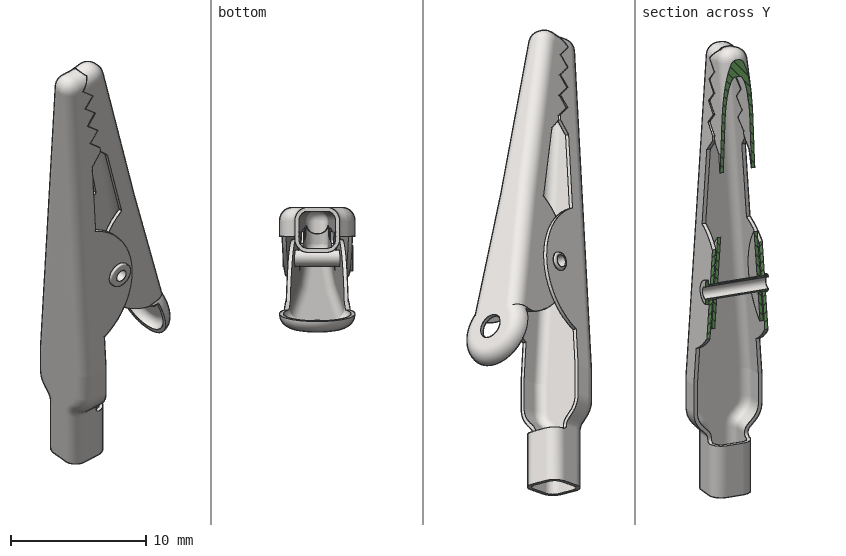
import cadquery as cq
import math

SHEET = 0.3
EDGE_RADIUS = 1.0
DEEP = 10.55

TIP_RADIUS = 1.02
OVERALL_HEIGHT = 35.15
PIVOT_Y = 3.75
PIVOT_Z = 16.55
EAR_RADIUS = 5.27
EAR_CENTRE_Y = -0.18
EAR_CENTRE_Z = 16.38
WINDOW_WALL = 1.83
WINDOW_TOP = 27.03
JAW_ANGLE = 12.0

TOOTH_COUNT = 4
TOOTH_PITCH = 1.6
TOOTH_RISE = 0.8
TOOTH_DEPTH = 0.9
BITE_LEAN = 0.15
BITE_Y = 2.67
BITE_BOTTOM = 27.98
BITE_STEP = 0.4

BODY_HALF = 2.795
TIP_HALF = 1.12
TIP_Z = 34.1
TAPER_BOTTOM = 8.8
SHOULDER_Z = 6.57
SHOULDER_RADIUS = 1.95
SHOULDER_ANGLE = 45.0
BODY_WALL = 2.15

TAIL_HALF = 1.65
TAIL_DEPTH = 3.35
TAIL_TOP = 4.08
TAIL_FILLET = 0.3
NECK_FILLET = 0.6

SIDE_CLEARANCE = 0.07
WAIST_Z = 21.35
THUMB_Z = 9.88
THUMB_NECK = 2.3
THUMB_DEPTH = 1.0
THUMB_HOLE = 1.85

SHANK = 1.2
BORE = 0.9
HEAD = 1.9
HEAD_FILLET = 0.1
LIP = 1.4
LIP_FILLET = 0.18
HEAD_SEAT = 2.35
HEAD_END = 2.65
LIP_END = 2.55

TURN = math.radians(JAW_ANGLE)
BACK_TIP_RISE = (
    OVERALL_HEIGHT - PIVOT_Z - EDGE_RADIUS - (PIVOT_Y - EDGE_RADIUS) * math.sin(TURN)
) / math.cos(TURN)
JAW_TOP = PIVOT_Z + BACK_TIP_RISE + EDGE_RADIUS
TAPER = (BODY_HALF - TIP_HALF) / (TIP_Z - TAPER_BOTTOM)


def lower_half_width(z):
    return BODY_HALF - TAPER * (z - TAPER_BOTTOM)


def upper_half_width(z):
    return lower_half_width(z) - SHEET - SIDE_CLEARANCE


def ear_height(y):
    """Height of the round ear above or below its centre at depth y."""
    return math.sqrt(EAR_RADIUS**2 - (y - EAR_CENTRE_Y) ** 2)


def bite_line():
    """Zigzag from the bottom of the bite to above the tip, as (y, z) points."""
    points = [(BITE_Y, BITE_BOTTOM)]
    for tooth in range(TOOTH_COUNT + 1):
        y = BITE_Y - BITE_LEAN * tooth
        z = BITE_BOTTOM + BITE_STEP + TOOTH_PITCH * tooth
        points.append((y, z))
        points.append((y - TOOTH_DEPTH, z + TOOTH_RISE))
    return points


def side_prism(profile):
    """Full-width prism of a closed side profile drawn in (y, z)."""
    return profile.close().extrude(DEEP, both=True)


def blank(outline, back, radius):
    """Outline extruded from the back, with its back edge rounded."""
    return (
        cq.Workplane("XZ")
        .add(outline)
        .toPending()
        .extrude(-DEEP)
        .translate((0, back, 0))
        .faces("<Y")
        .edges()
        .fillet(radius)
    )


def channel_blanks(outline):
    """Outer shape and inner hollow of a sheet channel, open at +Y."""
    inner = outline.offset2D(-SHEET)
    return blank(outline, 0, EDGE_RADIUS), blank(inner, SHEET, EDGE_RADIUS - SHEET)


def tip_corner(half_width_at_top):
    """Bottom end, middle and top end of the round corner at the +X side of a tip."""
    slant = 1 / math.sqrt(2)
    centre_x = half_width_at_top - TIP_RADIUS
    centre_z = JAW_TOP - TIP_RADIUS
    return (
        (half_width_at_top, centre_z),
        (centre_x + TIP_RADIUS * slant, centre_z + TIP_RADIUS * slant),
        (centre_x, JAW_TOP),
    )


def mirrored(point):
    return (-point[0], point[1])


def lower_outline():
    turn = math.radians(SHOULDER_ANGLE)
    bend_x = BODY_HALF - SHOULDER_RADIUS * (1 - math.cos(turn))
    bend_z = SHOULDER_Z - SHOULDER_RADIUS * math.sin(turn)
    mid_x = BODY_HALF - SHOULDER_RADIUS * (1 - math.cos(turn / 2))
    mid_z = SHOULDER_Z - SHOULDER_RADIUS * math.sin(turn / 2)
    corner_z = bend_z - (bend_x - TAIL_HALF) / math.tan(turn)
    neck_reach = NECK_FILLET * math.tan(turn / 2)
    neck_low = (TAIL_HALF, corner_z - neck_reach)
    neck_middle = (
        TAIL_HALF + NECK_FILLET * (1 - math.cos(turn / 2)),
        corner_z - neck_reach + NECK_FILLET * math.sin(turn / 2),
    )
    neck_high = (
        TAIL_HALF + neck_reach * math.sin(turn),
        corner_z + neck_reach * math.cos(turn),
    )
    below_tail = -2 * EDGE_RADIUS
    low, middle, high = tip_corner(TIP_HALF)
    return (
        cq.Workplane("XZ")
        .moveTo(TAIL_HALF, below_tail)
        .lineTo(*neck_low)
        .threePointArc(neck_middle, neck_high)
        .lineTo(bend_x, bend_z)
        .threePointArc((mid_x, mid_z), (BODY_HALF, SHOULDER_Z))
        .lineTo(BODY_HALF, TAPER_BOTTOM)
        .lineTo(*low)
        .threePointArc(middle, high)
        .lineTo(*mirrored(high))
        .threePointArc(mirrored(middle), mirrored(low))
        .lineTo(-BODY_HALF, TAPER_BOTTOM)
        .lineTo(-BODY_HALF, SHOULDER_Z)
        .threePointArc((-mid_x, mid_z), (-bend_x, bend_z))
        .lineTo(*mirrored(neck_high))
        .threePointArc(mirrored(neck_middle), mirrored(neck_low))
        .lineTo(-TAIL_HALF, below_tail)
        .close()
    )


def upper_outline():
    low, middle, high = tip_corner(TIP_HALF)
    waist = (upper_half_width(WAIST_Z), WAIST_Z)
    neck = (THUMB_NECK, THUMB_Z + math.sqrt(BODY_HALF**2 - THUMB_NECK**2))
    return (
        cq.Workplane("XZ")
        .moveTo(*neck)
        .lineTo(*waist)
        .lineTo(*low)
        .threePointArc(middle, high)
        .lineTo(*mirrored(high))
        .threePointArc(mirrored(middle), mirrored(low))
        .lineTo(*mirrored(waist))
        .lineTo(*mirrored(neck))
        .threePointArc((0, THUMB_Z - BODY_HALF), neck)
        .close()
    )


def tail_tube(inset):
    """Solid tail with rounded corners, smaller by the inset on all four sides."""
    return (
        cq.Workplane("XY")
        .center(0, TAIL_DEPTH / 2)
        .rect(2 * (TAIL_HALF - inset), TAIL_DEPTH - 2 * inset)
        .extrude(TAIL_TOP + TAIL_FILLET)
        .edges("|Z")
        .fillet(EDGE_RADIUS - inset)
    )


def behind_tail_front():
    """Zone of the tail deeper than the body walls, where only the tube itself closes."""
    return cq.Workplane("XY").box(DEEP, 2 * DEEP, 2 * DEEP, centered=(True, False, False)).translate(
        (0, BODY_WALL, TAIL_TOP + TAIL_FILLET - 2 * DEEP)
    )


def rivet_hole():
    return cq.Workplane("YZ").center(PIVOT_Y, PIVOT_Z).circle(SHANK / 2).extrude(DEEP, both=True)


def lower_side():
    slant = TAIL_FILLET * (1 - 1 / math.sqrt(2))
    profile = (
        cq.Workplane("YZ")
        .moveTo(0, 0)
        .lineTo(TAIL_DEPTH, 0)
        .lineTo(TAIL_DEPTH, TAIL_TOP)
        .lineTo(BODY_WALL + TAIL_FILLET, TAIL_TOP)
        .threePointArc((BODY_WALL + slant, TAIL_TOP + slant), (BODY_WALL, TAIL_TOP + TAIL_FILLET))
        .lineTo(BODY_WALL, EAR_CENTRE_Z - ear_height(BODY_WALL))
        .threePointArc(
            (EAR_CENTRE_Y + EAR_RADIUS, EAR_CENTRE_Z),
            (WINDOW_WALL, EAR_CENTRE_Z + ear_height(WINDOW_WALL)),
        )
        .lineTo(WINDOW_WALL, WINDOW_TOP)
    )
    for point in bite_line():
        profile = profile.lineTo(*point)
    return side_prism(profile.lineTo(0, bite_line()[-1][1]))


def upper_side():
    """Side of the upper jaw before the bite is cut, seen from its own back."""
    above = JAW_TOP + SHEET
    across = PIVOT_Y - BITE_Y
    along = BITE_BOTTOM - PIVOT_Z
    corner_y = PIVOT_Y + across * math.cos(TURN) - along * math.sin(TURN)
    corner_z = PIVOT_Z + across * math.sin(TURN) + along * math.cos(TURN)
    window_slope = (corner_z - WINDOW_TOP) / (corner_y - WINDOW_WALL)
    profile = (
        cq.Workplane("YZ")
        .moveTo(0, 0)
        .lineTo(THUMB_DEPTH, 0)
        .lineTo(THUMB_DEPTH, EAR_CENTRE_Z - ear_height(THUMB_DEPTH))
        .threePointArc(
            (EAR_CENTRE_Y + EAR_RADIUS, EAR_CENTRE_Z),
            (WINDOW_WALL, EAR_CENTRE_Z + ear_height(WINDOW_WALL)),
        )
        .lineTo(WINDOW_WALL, WINDOW_TOP)
        .lineTo(PIVOT_Y, WINDOW_TOP + window_slope * (PIVOT_Y - WINDOW_WALL))
        .lineTo(PIVOT_Y, above)
        .lineTo(0, above)
    )
    return side_prism(profile)


def below_bite():
    """Everything on the lower jaw's side of the bite line."""
    profile = cq.Workplane("YZ").moveTo(-DEEP, BITE_BOTTOM)
    for point in bite_line():
        profile = profile.lineTo(*point)
    return side_prism(profile.lineTo(-DEEP, bite_line()[-1][1]))


def make_lower_jaw():
    outer, hollow = channel_blanks(lower_outline())
    behind = behind_tail_front()
    outer = outer.cut(behind).union(tail_tube(0))
    hollow = hollow.cut(behind).union(tail_tube(SHEET))
    return outer.cut(hollow).intersect(lower_side()).cut(rivet_hole())


def make_upper_jaw():
    outer, hollow = channel_blanks(upper_outline())
    thumb_hole = cq.Workplane("XZ").center(0, THUMB_Z).circle(THUMB_HOLE / 2).extrude(DEEP, both=True)
    jaw = outer.cut(hollow).intersect(upper_side()).cut(rivet_hole()).cut(thumb_hole)
    facing = jaw.rotate((0, PIVOT_Y, 0), (0, PIVOT_Y, 1), 180)
    opened = facing.rotate((0, PIVOT_Y, PIVOT_Z), (1, PIVOT_Y, PIVOT_Z), JAW_ANGLE)
    return opened.cut(below_bite())


def make_rivet():
    def disc(start, end, diameter):
        plane = cq.Workplane("YZ", origin=(start, PIVOT_Y, PIVOT_Z))
        return plane.circle(diameter / 2).extrude(end - start)

    head = disc(HEAD_SEAT, HEAD_END, HEAD).faces(">X").edges().fillet(HEAD_FILLET)
    lip = disc(-LIP_END, -HEAD_SEAT, LIP).faces("<X").edges().fillet(LIP_FILLET)
    shank = disc(-HEAD_SEAT, HEAD_SEAT, SHANK)
    bore = disc(-LIP_END, HEAD_END, BORE)
    return shank.union(head).union(lip).cut(bore)


lower_jaw = make_lower_jaw()
upper_jaw = make_upper_jaw()
rivet = make_rivet()

result = cq.Compound.makeCompound([lower_jaw.val(), upper_jaw.val(), rivet.val()])